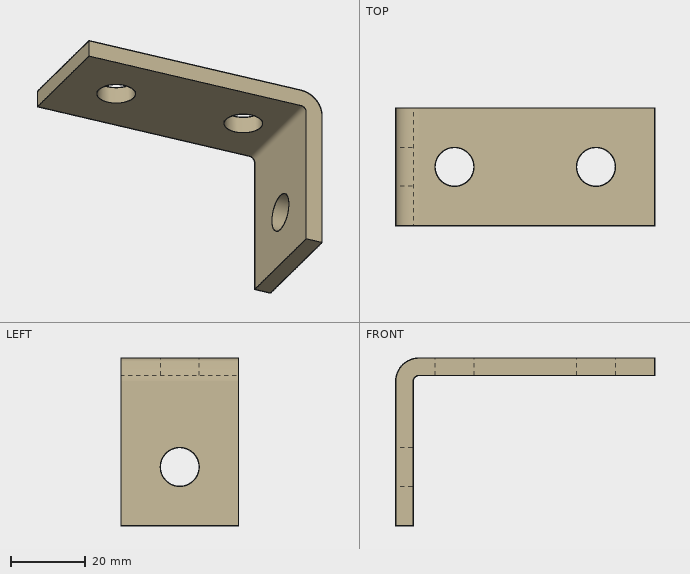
import cadquery as cq

length = 69.85
width = 31.75
height = 45.25
thickness = 4.7625
outer_bend_radius = 6.35
hole_diameter = 10.4
hole_edge_distance = 15.875

inner_bend_radius = outer_bend_radius - thickness
top_hole_positions = (hole_edge_distance, length - hole_edge_distance)
side_hole_height = hole_edge_distance - height


def make_bent_plate():
    """L-shaped plate with its outer corner at X = 0, Z = 0, centred on Y."""
    horizontal_leg = cq.Workplane("XY").box(
        length, width, thickness, centered=(False, True, False)
    ).translate((0, 0, -thickness))
    vertical_leg = cq.Workplane("XY").box(
        thickness, width, height, centered=(False, True, False)
    ).translate((0, 0, -height))
    plate = horizontal_leg.union(vertical_leg)
    inner_corner = cq.NearestToPointSelector((thickness, 0, -thickness))
    outer_corner = cq.NearestToPointSelector((0, 0, 0))
    plate = plate.edges("|Y").edges(inner_corner).fillet(inner_bend_radius)
    return plate.edges("|Y").edges(outer_corner).fillet(outer_bend_radius)


def make_top_holes():
    """Vertical cutters through the horizontal leg."""
    centres = [(x, 0) for x in top_hole_positions]
    return (
        cq.Workplane("XY")
        .pushPoints(centres)
        .circle(hole_diameter / 2)
        .extrude(-thickness)
    )


def make_side_hole():
    """Cutter along X through the vertical leg."""
    return (
        cq.Workplane("YZ")
        .center(0, side_hole_height)
        .circle(hole_diameter / 2)
        .extrude(thickness)
    )


result = make_bent_plate().cut(make_top_holes()).cut(make_side_hole())